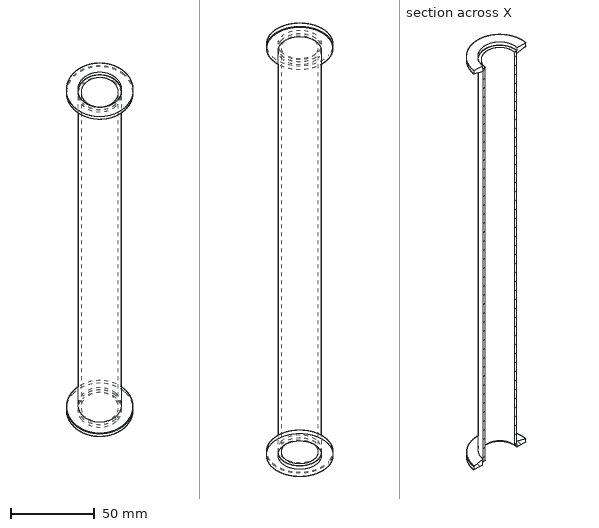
import cadquery as cq
import math

total_length = 320.0
flange_diameter = 40.0

tube_outer_diameter = 26.0
tube_inner_diameter = 22.0

rim_height = 3.05
rim_chamfer = 0.3
cone_angle = 15.0
recess_diameter = 26.2
recess_depth = 2.5

flange_radius = flange_diameter / 2
tube_radius = tube_outer_diameter / 2
recess_radius = recess_diameter / 2
cone_height = (flange_radius - tube_radius) * math.tan(math.radians(cone_angle))
flange_height = rim_height + cone_height
chamfer_top = rim_height + rim_chamfer * math.tan(math.radians(cone_angle))


def make_tube():
    """Plain tube whose ends are flush with the floors of the two flange recesses."""
    return (
        cq.Workplane("XY")
        .workplane(offset=recess_depth)
        .circle(tube_radius)
        .circle(tube_inner_diameter / 2)
        .extrude(total_length - 2 * recess_depth)
    )


def make_flange():
    """Clamp flange with its sealing face on Z = 0 and its cone facing +Z."""
    return (
        cq.Workplane("XZ")
        .moveTo(recess_radius, 0)
        .lineTo(flange_radius, 0)
        .lineTo(flange_radius, rim_height - rim_chamfer)
        .lineTo(flange_radius - rim_chamfer, chamfer_top)
        .lineTo(tube_radius, flange_height)
        .lineTo(tube_radius, recess_depth)
        .lineTo(recess_radius, recess_depth)
        .close()
        .revolve(360, (0, 0, 0), (0, 1, 0))
    )


tube = make_tube()

flanges = []
for at_top in (False, True):
    flange = make_flange()
    if at_top:
        flange = flange.mirror("XY").translate((0, 0, total_length))
    flanges.append(flange.val())

result = cq.Compound.makeCompound([tube.val(), *flanges])